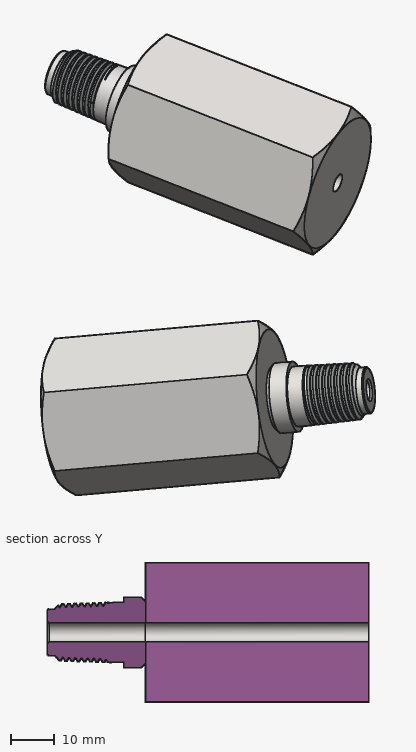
import cadquery as cq
import math

total_length = 73.15
face_x = 22.3
bore_radius = 2.1

across_flats = 31.75
corner_radius = across_flats / math.sqrt(3)
end_circle_radius = 15.8
corner_chamfer_angle = 30.0
corner_chamfer_length = (corner_radius - end_circle_radius) * math.tan(math.radians(corner_chamfer_angle))

nose_radius = 5.35
nose_end_x = 1.7
nose_chamfer = 0.3
bore_chamfer = 0.45
neck_radius = 6.9
taper_end_x = 15.2
neck_end_x = 17.4
collar_radius = 8.05
collar_chamfer = 0.9
thread_slope = 1 / 32

ridge_count = 7
ridges_length = 9.9
thread_pitch = ridges_length / ridge_count
groove_depth = 0.8
groove_angle = 60.0
groove_overshoot = 0.2
groove_start_x = 1.45
full_turns = 8.2
run_out_turns = 0.85


def crest_radius(x):
    """Radius of the tapered thread crests at distance x from the tip."""
    return neck_radius - thread_slope * (taper_end_x - x)


def make_bore_cutter():
    """Through bore along the X axis."""
    return cq.Workplane("YZ").circle(bore_radius).extrude(total_length)


def make_hex_body():
    """Hexagonal body with conical corner chamfers at both ends."""
    hexagon = cq.Workplane("YZ", origin=(face_x, 0, 0)).polygon(6, 2 * corner_radius)
    body = hexagon.extrude(total_length - face_x)
    envelope = (
        cq.Workplane("XY")
        .moveTo(face_x, 0)
        .lineTo(face_x, end_circle_radius)
        .lineTo(face_x + corner_chamfer_length, corner_radius)
        .lineTo(total_length - corner_chamfer_length, corner_radius)
        .lineTo(total_length, end_circle_radius)
        .lineTo(total_length, 0)
        .close()
        .revolve(360, (0, 0, 0), (1, 0, 0))
    )
    return body.intersect(envelope).cut(make_bore_cutter())


def make_groove(groove_x, start_turn, turns, slope):
    """Right-hand conical V groove whose radius grows by slope per unit of X.

    It begins at groove_x, start_turn revolutions on from the top of the stem.
    The groove is swept along Z and then turned onto the X axis.
    """
    crest = crest_radius(groove_x)
    root = crest - groove_depth
    mouth = crest + groove_overshoot
    half_width = (mouth - root) * math.tan(math.radians(groove_angle / 2))
    path = cq.Wire.makeHelix(thread_pitch, thread_pitch * turns, crest, angle=math.degrees(math.atan(slope)))
    groove = (
        cq.Workplane("XZ")
        .polyline([(root, 0), (mouth, half_width), (mouth, -half_width)])
        .close()
        .sweep(cq.Workplane(path), isFrenet=True)
    )
    roll = 360 * (start_turn + 0.5)
    return groove.rotate((0, 0, 0), (0, 1, 0), 90).rotate((0, 0, 0), (1, 0, 0), roll).translate((groove_x, 0, 0))


def cut_thread(blank):
    """Cut the full-depth groove, then the run-out that climbs to the crest surface."""
    full_groove = make_groove(groove_start_x, 0, full_turns, thread_slope)
    run_out_x = groove_start_x + thread_pitch * full_turns
    run_out_slope = thread_slope + groove_depth / (thread_pitch * run_out_turns)
    run_out = make_groove(run_out_x, full_turns, run_out_turns, run_out_slope)
    return blank.cut(full_groove).cut(run_out)


def make_stem():
    """Threaded stem whose collar seats against the hexagonal body."""
    lead_in_end_x = (crest_radius(nose_end_x) - nose_radius) / (1 - thread_slope) + nose_end_x
    blank = (
        cq.Workplane("XY")
        .moveTo(bore_chamfer, bore_radius)
        .lineTo(0, bore_radius + bore_chamfer)
        .lineTo(0, nose_radius - nose_chamfer)
        .lineTo(nose_chamfer, nose_radius)
        .lineTo(nose_end_x, nose_radius)
        .lineTo(lead_in_end_x, crest_radius(lead_in_end_x))
        .lineTo(taper_end_x, neck_radius)
        .lineTo(neck_end_x, neck_radius)
        .lineTo(neck_end_x, collar_radius)
        .lineTo(face_x - collar_chamfer, collar_radius)
        .lineTo(face_x, collar_radius - collar_chamfer)
        .lineTo(face_x, bore_radius)
        .close()
        .revolve(360, (0, 0, 0), (1, 0, 0))
    )
    return cut_thread(blank)


centering = (-total_length / 2, 0, 0)
hex_body = make_hex_body().translate(centering)
stem = make_stem().translate(centering)
result = cq.Compound.makeCompound([hex_body.val(), stem.val()])